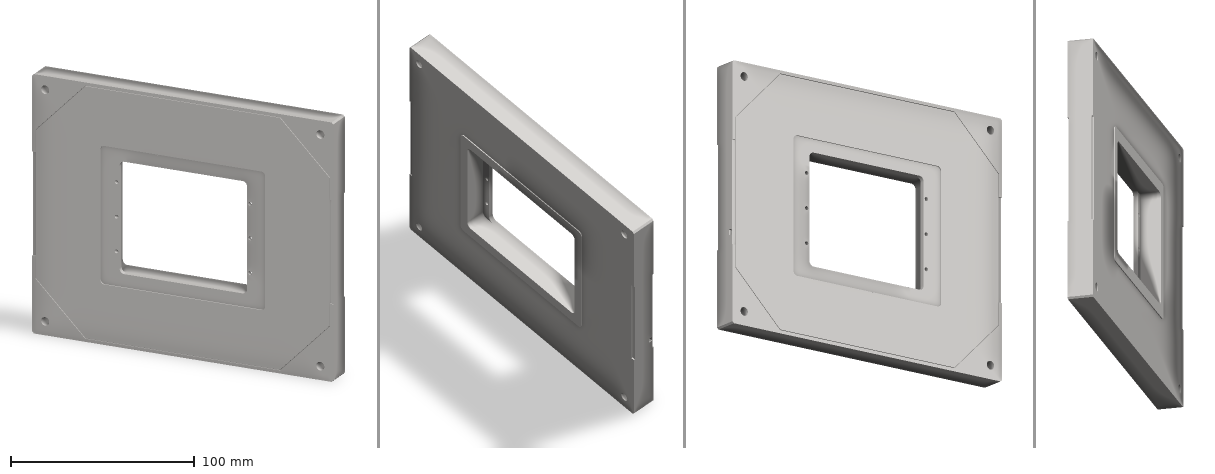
import cadquery as cq
import math

LENGTH = 182.0
HEIGHT = 150.0
DEPTH = 15.0
BOSS_RISE = 0.5
CORNER_CHAMFER = 1.0

FRONT_Y = -DEPTH / 2
FRAME_DEPTH = DEPTH - BOSS_RISE
FRAME_BACK_Y = FRONT_Y + FRAME_DEPTH

COVER_LENGTH = 177.3
COVER_HEIGHT = 145.6
COVER_CORNER = 29.8
COVER_THICKNESS = 0.7
COVER_CLEARANCE = 0.4
COVER_BACK_Y = FRONT_Y + COVER_THICKNESS
RECESS_CORNER = COVER_CORNER + COVER_CLEARANCE * (2 - math.sqrt(2))

OPENING_LENGTH = 99.7
OPENING_HEIGHT = 80.0
OPENING_RADIUS = 2.5
BEZEL_LENGTH = 98.0
BEZEL_HEIGHT = 78.3
BEZEL_RADIUS = 2.5
BEZEL_THICKNESS = 0.7

WINDOW_LENGTH = 77.2
WINDOW_HEIGHT = 65.0
WINDOW_RADIUS = 3.0
REAR_WINDOW_LENGTH = 87.0
LIP_THICKNESS = 2.0
REAR_WINDOW_Y = COVER_BACK_Y + BEZEL_THICKNESS + LIP_THICKNESS

MOUNT_HOLE_DIAMETER = 5.0
MOUNT_HOLE_X = 83.2
MOUNT_HOLE_Z = 67.0
PIN_HOLE_DIAMETER = 2.2
PIN_HOLE_X = 40.4
PIN_HOLE_PITCH = 20.0
PIN_POINTS = [(x, row * PIN_HOLE_PITCH) for x in (-PIN_HOLE_X, PIN_HOLE_X) for row in (-1, 0, 1)]

NOTCH_LENGTH = 60.0
NOTCH_DEPTH = COVER_THICKNESS
NOTCH_WIDTH = (LENGTH - COVER_LENGTH) / 2 - COVER_CLEARANCE
POCKET_WIDTH = 2.5
POCKET_HEIGHT = 3.1
POCKET_DEPTH = 1.8
POCKET_Y = -5.3
POCKET_Z = -22.5


def block(length, height, front_y, depth):
    """Plain block centred on X and Z that starts at front_y and runs back."""
    return cq.Workplane("XY").box(length, depth, height).translate((0, front_y + depth / 2, 0))


def rounded_block(length, height, radius, front_y, depth):
    return block(length, height, front_y, depth).edges("|Y").fillet(radius)


def octagon(length, height, corner, front_y, depth):
    return block(length, height, front_y, depth).edges("|Y").chamfer(corner)


def drills(points, diameter):
    """Cylinders along Y through the whole depth at the given X, Z points."""
    return (
        cq.Workplane("XZ", origin=(0, DEPTH, 0))
        .pushPoints(points)
        .circle(diameter / 2)
        .extrude(2 * DEPTH)
    )


def make_frame():
    frame = octagon(LENGTH, HEIGHT, CORNER_CHAMFER, FRONT_Y, FRAME_DEPTH)

    recess = octagon(
        COVER_LENGTH + 2 * COVER_CLEARANCE,
        COVER_HEIGHT + 2 * COVER_CLEARANCE,
        RECESS_CORNER,
        FRONT_Y,
        COVER_THICKNESS,
    )
    frame = frame.cut(recess)

    boss = rounded_block(BEZEL_LENGTH, BEZEL_HEIGHT, BEZEL_RADIUS, FRAME_BACK_Y, BOSS_RISE)
    bezel_seat = rounded_block(BEZEL_LENGTH, BEZEL_HEIGHT, BEZEL_RADIUS, COVER_BACK_Y, BEZEL_THICKNESS)
    frame = frame.union(boss).cut(bezel_seat)

    window = rounded_block(WINDOW_LENGTH, WINDOW_HEIGHT, WINDOW_RADIUS, FRONT_Y, DEPTH)
    rear_window = rounded_block(REAR_WINDOW_LENGTH, WINDOW_HEIGHT, WINDOW_RADIUS, REAR_WINDOW_Y, DEPTH)
    frame = frame.cut(window).cut(rear_window)

    frame = frame.cut(drills(PIN_POINTS, PIN_HOLE_DIAMETER))
    mount_points = [(x, z) for x in (-MOUNT_HOLE_X, MOUNT_HOLE_X) for z in (-MOUNT_HOLE_Z, MOUNT_HOLE_Z)]
    frame = frame.cut(drills(mount_points, MOUNT_HOLE_DIAMETER))

    notch = cq.Workplane("XY").box(NOTCH_WIDTH, NOTCH_DEPTH, NOTCH_LENGTH)
    notch_x = (LENGTH - NOTCH_WIDTH) / 2
    for x in (-notch_x, notch_x):
        for y in (FRONT_Y + NOTCH_DEPTH / 2, FRAME_BACK_Y - NOTCH_DEPTH / 2):
            frame = frame.cut(notch.translate((x, y, 0)))

    pocket = cq.Workplane("XY").box(POCKET_DEPTH, POCKET_WIDTH, POCKET_HEIGHT)
    return frame.cut(pocket.translate(((POCKET_DEPTH - LENGTH) / 2, POCKET_Y, POCKET_Z)))


def make_cover():
    cover = octagon(COVER_LENGTH, COVER_HEIGHT, COVER_CORNER, FRONT_Y, COVER_THICKNESS)
    opening = rounded_block(OPENING_LENGTH, OPENING_HEIGHT, OPENING_RADIUS, FRONT_Y, COVER_THICKNESS)
    return cover.cut(opening)


def make_bezel():
    bezel = rounded_block(BEZEL_LENGTH, BEZEL_HEIGHT, BEZEL_RADIUS, COVER_BACK_Y, BEZEL_THICKNESS)
    window = rounded_block(WINDOW_LENGTH, WINDOW_HEIGHT, WINDOW_RADIUS, COVER_BACK_Y, BEZEL_THICKNESS)
    return bezel.cut(window).cut(drills(PIN_POINTS, PIN_HOLE_DIAMETER))


frame = make_frame()
cover = make_cover()
bezel = make_bezel()
result = cq.Compound.makeCompound([frame.val(), cover.val(), bezel.val()])